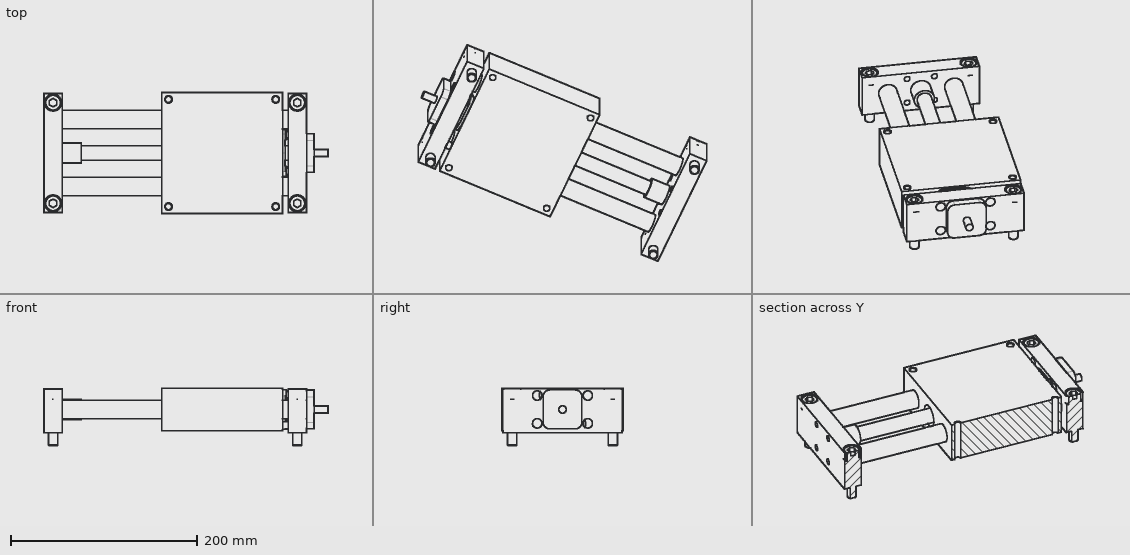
import cadquery as cq
import math


total_length = 305.0
plate_thickness = 19.8
carriage_size = 130.0
carriage_start = 126.3
carriage_end = carriage_start + carriage_size
carriage_gap = 5.8
far_plate_start = carriage_end + carriage_gap
far_plate_end = far_plate_start + plate_thickness

plate_width = 128.0
plate_top = 22.0
plate_bottom = -25.0
near_hole_diameter = 6.0
near_hole_spacing = 30.0
far_hole_diameter = 10.0
far_hole_spacing_y = 54.3
far_hole_spacing_z = 30.0

screw_spacing = 108.0
screw_shank_diameter = 10.0
screw_head_diameter = 16.0
screw_head_height = 10.0
screw_bottom = -39.0
screw_chamfer = 1.0
counterbore_diameter = 18.0
counterbore_depth = 11.0
socket_across_flats = 8.0
socket_depth = 5.0

rod_diameter = 20.0
rod_spacing = 72.0
spindle_diameter = 16.0
collar_diameter = 22.0
collar_length = 20.5
shaft_diameter = 8.0

bearing_size = 41.8
bearing_thickness = 8.2
bearing_corner_radius = 7.3

carriage_height = 45.8
carriage_hole_diameter = 6.7
carriage_hole_mouth_diameter = 8.0
carriage_hole_spacing = 115.0
spindle_bore_diameter = 24.0

nut_radius = 21.5
nut_thickness = 2.7
lobe_radius = 5.5
lobe_y = 19.5
lobe_z = nut_radius - lobe_radius
bolt_head_diameter = 11.0
bolt_rim_height = 1.0
bolt_dome_height = 2.0
bolt_dome_flat_diameter = 6.0

stop_diameter = 8.0
stop_z = -17.0


def rod_along_x(start, end, diameter, y=0.0, z=0.0):
    """Cylinder parallel to X between two stations."""
    return (
        cq.Workplane("YZ", origin=(start, y, z))
        .circle(diameter / 2)
        .extrude(end - start)
    )


def rod_along_z(x, y, bottom, top, diameter):
    """Vertical cylinder between two heights."""
    return (
        cq.Workplane("XY", origin=(x, y, bottom))
        .circle(diameter / 2)
        .extrude(top - bottom)
    )


def box_between(x_start, x_end, width, bottom, top):
    """Block centred on Y between two stations and two heights."""
    return (
        cq.Workplane("XY", origin=(x_start, 0, bottom))
        .box(x_end - x_start, width, top - bottom, centered=(False, True, False))
    )


def make_cap_screw(x, y):
    """Socket-head screw seated on the floor of its counterbore."""
    seat = plate_top - counterbore_depth
    head_top = seat + screw_head_height
    shank = rod_along_z(x, y, screw_bottom, seat, screw_shank_diameter)
    shank = shank.faces("<Z").chamfer(screw_chamfer)
    head = rod_along_z(x, y, seat, head_top, screw_head_diameter)
    socket = (
        cq.Workplane("XY", origin=(x, y, head_top))
        .transformed(rotate=(0, 0, 90))
        .polygon(6, socket_across_flats / math.cos(math.pi / 6))
        .extrude(-socket_depth)
    )
    return shank.union(head.cut(socket))


def make_end_plate(start):
    """End plate with both of its cap screws in place."""
    plate = box_between(start, start + plate_thickness, plate_width, plate_bottom, plate_top)
    middle = start + plate_thickness / 2
    for side in (-1, 1):
        y = side * screw_spacing / 2
        plate = plate.cut(
            rod_along_z(middle, y, plate_top - counterbore_depth, plate_top, counterbore_diameter)
        )
        plate = plate.union(make_cap_screw(middle, y))
    return plate


def make_plate_holes(start, diameter, spacing_y, spacing_z):
    """Cutters for four holes through an end plate, parallel to X."""
    return (
        cq.Workplane("YZ", origin=(start, 0, 0))
        .rect(spacing_y, spacing_z, forConstruction=True)
        .vertices()
        .circle(diameter / 2)
        .extrude(plate_thickness)
    )


def make_frame():
    """End plates joined by the guide rods, collar and spindle, with the bearing flange."""
    near_plate = make_end_plate(0).cut(
        make_plate_holes(0, near_hole_diameter, near_hole_spacing, near_hole_spacing)
    )
    far_plate = make_end_plate(far_plate_start).cut(
        make_plate_holes(far_plate_start, far_hole_diameter, far_hole_spacing_y, far_hole_spacing_z)
    )
    frame = near_plate.union(far_plate)
    for side in (-1, 1):
        frame = frame.union(
            rod_along_x(plate_thickness, far_plate_start, rod_diameter, side * rod_spacing / 2)
        )
    collar_end = plate_thickness + collar_length
    bearing_end = far_plate_end + bearing_thickness
    bearing = (
        box_between(far_plate_end, bearing_end, bearing_size, -bearing_size / 2, bearing_size / 2)
        .edges("|X")
        .fillet(bearing_corner_radius)
    )
    return (
        frame.union(rod_along_x(plate_thickness, collar_end, collar_diameter))
        .union(rod_along_x(collar_end, far_plate_start, spindle_diameter))
        .union(bearing)
        .union(rod_along_x(bearing_end, total_length, shaft_diameter))
    )


def make_nut_flange():
    """Round flange drawn out by tangent sides to two opposite bolt lobes."""
    lobe_angle = math.atan2(lobe_z, -lobe_y)
    level_normal = math.pi / 2
    sloped_normal = 2 * lobe_angle - level_normal

    def on_round(angle):
        return (nut_radius * math.cos(angle), nut_radius * math.sin(angle))

    def on_lobe(angle):
        return (-lobe_y + lobe_radius * math.cos(angle), lobe_z + lobe_radius * math.sin(angle))

    def opposite(point):
        return (-point[0], -point[1])

    round_middle = on_round(lobe_angle - math.pi / 2)
    profile = (
        cq.Workplane("YZ", origin=(carriage_end, 0, 0))
        .moveTo(*on_round(level_normal))
        .lineTo(*on_lobe(level_normal))
        .threePointArc(on_lobe(lobe_angle), on_lobe(sloped_normal))
        .lineTo(*on_round(sloped_normal))
        .threePointArc(opposite(round_middle), opposite(on_round(level_normal)))
        .lineTo(*opposite(on_lobe(level_normal)))
        .threePointArc(opposite(on_lobe(lobe_angle)), opposite(on_lobe(sloped_normal)))
        .lineTo(*opposite(on_round(sloped_normal)))
        .threePointArc(round_middle, on_round(level_normal))
        .close()
    )
    flange = profile.extrude(nut_thickness)
    return flange.cut(rod_along_x(carriage_end, carriage_end + nut_thickness, spindle_diameter))


def make_bolt_head(y, z):
    """Button head: a short round rim topped by a flattened dome."""
    base_radius = bolt_head_diameter / 2
    flat_radius = bolt_dome_flat_diameter / 2
    centre_height = (bolt_dome_height**2 + flat_radius**2 - base_radius**2) / (2 * bolt_dome_height)
    dome_radius = math.hypot(base_radius, centre_height)
    mid_radius = (base_radius + flat_radius) / 2
    mid_height = centre_height + math.sqrt(dome_radius**2 - mid_radius**2)
    head_height = bolt_rim_height + bolt_dome_height
    return (
        cq.Workplane("XY", origin=(carriage_end + nut_thickness, y, z))
        .lineTo(0, base_radius)
        .lineTo(bolt_rim_height, base_radius)
        .threePointArc((bolt_rim_height + mid_height, mid_radius), (head_height, flat_radius))
        .lineTo(head_height, 0)
        .close()
        .revolve(360, (0, 0, 0), (1, 0, 0))
    )


def make_carriage():
    """Carriage block with its nut flange, flange bolts and stop pin."""
    carriage = box_between(
        carriage_start, carriage_end, carriage_size, -carriage_height / 2, carriage_height / 2
    )
    mouth_depth = (carriage_hole_mouth_diameter - carriage_hole_diameter) / 2
    carriage = (
        carriage.faces(">Z")
        .workplane(centerOption="CenterOfBoundBox")
        .rect(carriage_hole_spacing, carriage_hole_spacing, forConstruction=True)
        .vertices()
        .hole(carriage_hole_diameter)
        .faces(">Z")
        .edges("%CIRCLE")
        .chamfer(mouth_depth)
    )
    carriage = carriage.cut(rod_along_x(carriage_start, carriage_end, spindle_bore_diameter))
    for side in (-1, 1):
        carriage = carriage.cut(
            rod_along_x(carriage_start, carriage_end, rod_diameter, side * rod_spacing / 2)
        )
    carriage = carriage.union(make_nut_flange())
    for side in (-1, 1):
        carriage = carriage.union(make_bolt_head(side * lobe_y, -side * lobe_z))
    stop_pin = rod_along_x(carriage_end, far_plate_start, stop_diameter, -rod_spacing / 2, stop_z)
    return carriage.union(stop_pin)


frame = make_frame()
carriage = make_carriage()

result = cq.Compound.makeCompound([frame.solids().val(), carriage.solids().val()])